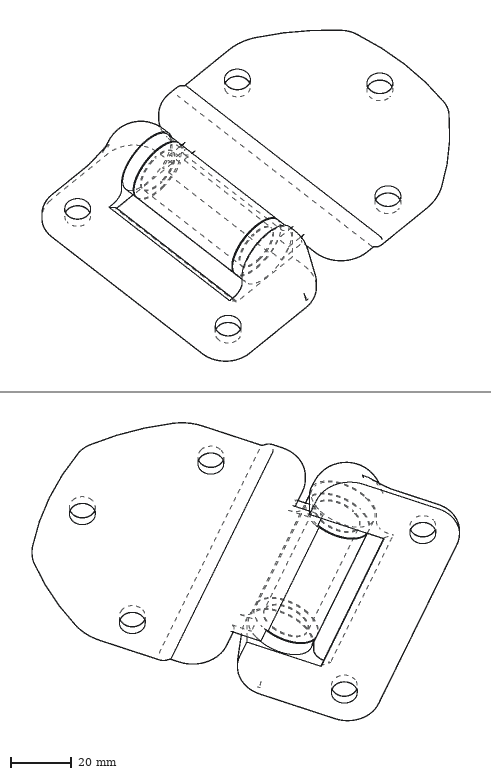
import cadquery as cq
import math

HALF_WIDTH = 46.0
PLATE_THICKNESS = 4
AXIS_HEIGHT = 12.0
SCREW_HOLE_DIAMETER = 8.5
SCREW_HOLE_X = 34.9
PIN_RADIUS = 8.0
BARREL_RADIUS = 11.5
BARREL_HALF_LENGTH = 22.7

OVERALL_LENGTH = 131.8
LEAF_REAR_Y = 93.8

BASE_FRONT_Y = LEAF_REAR_Y - OVERALL_LENGTH
BASE_CORNER_RADIUS = 11.1
BASE_EDGE_RADIUS = 2.0
BASE_HOLE_Y = -25.7
SLOT_HALF_WIDTH = 28.0
SLOT_FRONT_Y = -14.6
SLOT_CHAMFER = 3.3
LUG_RADIUS = AXIS_HEIGHT
LUG_DOME_X = 30.7
LUG_LEAN_DEG = 18
LUG_FOOT_FILLET = 4
COLLAR_GAP = 0.4

LEAF_FRONT_Y = 16.7
LEAF_SHOULDER_Y = 62.2
LEAF_TOP_CORNER_X = 22.9
LEAF_TOP_CORNER_Y = 91.0
LEAF_ARC_RADIUS = 93.5
LEAF_TOP_CORNER_RADIUS = 10.0
LEAF_SHOULDER_RADIUS = 19.0
LEAF_FRONT_CORNER_RADIUS = 12.3
LEAF_EDGE_RADIUS = 1.0
LEAF_SIDE_HOLE_Y = 50.1
LEAF_REAR_HOLE_Y = 82.0
JOGGLE_Y = 36.2
JOGGLE_RISE = 2.5
JOGGLE_SLOPE_DEG = 45
LEAF_TOP = JOGGLE_RISE + PLATE_THICKNESS
NECK_HALF_WIDTH = 27.5
NECK_CLEARANCE = 0.4
WEB_FILLET = 6.0

OVERSIZE = 2 * OVERALL_LENGTH
SELECT_MARGIN = 0.1


def cylinder_along_x(radius, start_x, end_x):
    """Cylinder on the hinge axis between two X positions."""
    return (
        cq.Workplane("YZ", origin=(start_x, 0, 0))
        .center(0, AXIS_HEIGHT)
        .circle(radius)
        .extrude(end_x - start_x)
    )


def screw_holes(places):
    """Cutters for screw holes through a plate."""
    return (
        cq.Workplane("XY")
        .pushPoints(places)
        .circle(SCREW_HOLE_DIAMETER / 2)
        .extrude(OVERSIZE, both=True)
    )


def block(x_range, y_range, z_range):
    """Axis-aligned block from its (low, high) limits."""
    low, high = zip(x_range, y_range, z_range)
    size = [b - a for a, b in zip(low, high)]
    return cq.Workplane("XY").box(*size, centered=False).translate(low)


def leaning_lug():
    """Lug on the +X side: domed, leaning outwards towards its foot."""
    top = 2 * AXIS_HEIGHT
    lean = math.radians(LUG_LEAN_DEG)
    down = cq.Vector(math.sin(lean), 0, -math.cos(lean))
    centre = cq.Vector(LUG_DOME_X, 0, AXIS_HEIGHT)
    leg = cq.Workplane(cq.Solid.makeCylinder(LUG_RADIUS, top, centre, down))
    dome = cq.Workplane("XY").sphere(LUG_RADIUS).translate(centre)
    foot_x = LUG_DOME_X + AXIS_HEIGHT * math.tan(lean)
    web = (
        cq.Workplane("XZ", origin=(0, LUG_RADIUS, 0))
        .polyline([
            (SLOT_HALF_WIDTH, 0),
            (foot_x, 0),
            (LUG_DOME_X, AXIS_HEIGHT),
            (SLOT_HALF_WIDTH, AXIS_HEIGHT),
        ])
        .close()
        .extrude(2 * LUG_RADIUS)
    )
    head = cylinder_along_x(LUG_RADIUS, SLOT_HALF_WIDTH, LUG_DOME_X)
    lug = leg.union(dome).union(web).union(head)
    keep = block((SLOT_HALF_WIDTH, 2 * HALF_WIDTH), (-LUG_RADIUS, LUG_RADIUS), (0, top))
    return lug.intersect(keep)


def base_outline():
    """Tall prism over the base footprint, rounded at all four corners."""
    return (
        block((-HALF_WIDTH, HALF_WIDTH), (BASE_FRONT_Y, LUG_RADIUS), (0, OVERSIZE))
        .edges("|Z and <Y").fillet(BASE_CORNER_RADIUS)
        .edges("|Z and >Y").fillet(LUG_RADIUS)
    )


def lug_with_foot():
    """Lug on the +X side, blended into an untrimmed stretch of plate in front of it."""
    lug = leaning_lug()
    wide = (SLOT_HALF_WIDTH, OVERSIZE)
    slab = block(wide, (-OVERSIZE, OVERSIZE), (0, PLATE_THICKNESS))
    around_foot = cq.selectors.BoxSelector(
        (SLOT_HALF_WIDTH + SELECT_MARGIN, -LUG_RADIUS - SELECT_MARGIN, PLATE_THICKNESS - SELECT_MARGIN),
        (HALF_WIDTH + SELECT_MARGIN, LUG_RADIUS + SELECT_MARGIN, PLATE_THICKNESS + SELECT_MARGIN),
    )
    blended = slab.union(lug).edges(around_foot).fillet(LUG_FOOT_FILLET)
    front_half = block(wide, (-OVERSIZE, 0), (0, OVERSIZE))
    return blended.intersect(front_half).union(lug)


def base_bridge():
    """Plate between the lugs, bevelled along the slot that clears the barrel."""
    return (
        cq.Workplane("YZ", origin=(-SLOT_HALF_WIDTH, 0, 0))
        .polyline([
            (BASE_FRONT_Y, 0),
            (SLOT_FRONT_Y, 0),
            (SLOT_FRONT_Y, PLATE_THICKNESS - SLOT_CHAMFER),
            (SLOT_FRONT_Y - SLOT_CHAMFER, PLATE_THICKNESS),
            (BASE_FRONT_Y, PLATE_THICKNESS),
        ])
        .close()
        .extrude(2 * SLOT_HALF_WIDTH)
    )


def make_base():
    """Plate with its two lugs, their collars and the hinge pin between them."""
    lug = lug_with_foot()
    base = base_bridge().union(lug).union(lug.mirror("YZ")).intersect(base_outline())
    base = base.faces("<Y").edges(">Z").fillet(BASE_EDGE_RADIUS)
    collar_x = BARREL_HALF_LENGTH + COLLAR_GAP
    base = base.union(cylinder_along_x(PIN_RADIUS, -SLOT_HALF_WIDTH, SLOT_HALF_WIDTH))
    collar = cylinder_along_x(BARREL_RADIUS, collar_x, SLOT_HALF_WIDTH)
    base = base.union(collar).union(collar.mirror("YZ"))
    return base.cut(screw_holes([(x, BASE_HOLE_Y) for x in (-SCREW_HOLE_X, SCREW_HOLE_X)]))


def leaf_outline():
    """Tall prism over the leaf plate: a domed rear end and rounded front corners."""
    return (
        cq.Workplane("XY")
        .moveTo(-HALF_WIDTH, LEAF_FRONT_Y)
        .lineTo(-HALF_WIDTH, LEAF_SHOULDER_Y)
        .radiusArc((-LEAF_TOP_CORNER_X, LEAF_TOP_CORNER_Y), LEAF_ARC_RADIUS)
        .threePointArc((0, LEAF_REAR_Y), (LEAF_TOP_CORNER_X, LEAF_TOP_CORNER_Y))
        .radiusArc((HALF_WIDTH, LEAF_SHOULDER_Y), LEAF_ARC_RADIUS)
        .lineTo(HALF_WIDTH, LEAF_FRONT_Y)
        .close()
        .extrude(OVERSIZE)
        .edges("|Z and <Y").fillet(LEAF_FRONT_CORNER_RADIUS)
        .edges("|Z").edges(">Y").fillet(LEAF_TOP_CORNER_RADIUS)
        .edges("|Z").edges("<X or >X").edges(">Y").fillet(LEAF_SHOULDER_RADIUS)
    )


def joggled_sheet():
    """Sheet of constant thickness that slopes up by the joggle rise towards the barrel."""
    t = PLATE_THICKNESS
    slope = math.radians(JOGGLE_SLOPE_DEG)
    full_turn = t * math.sin(slope), t * math.cos(slope)
    half_turn = t * math.sin(slope / 2), t * math.cos(slope / 2)
    high_y = JOGGLE_Y - JOGGLE_RISE / math.tan(slope) - t * math.tan(slope / 2)
    return (
        cq.Workplane("YZ", origin=(-HALF_WIDTH, 0, 0))
        .moveTo(OVERSIZE, 0)
        .lineTo(OVERSIZE, t)
        .lineTo(JOGGLE_Y, t)
        .lineTo(high_y + full_turn[0], JOGGLE_RISE + full_turn[1])
        .threePointArc((high_y + half_turn[0], JOGGLE_RISE + half_turn[1]), (high_y, LEAF_TOP))
        .lineTo(0, LEAF_TOP)
        .lineTo(0, JOGGLE_RISE)
        .lineTo(high_y, JOGGLE_RISE)
        .lineTo(JOGGLE_Y - full_turn[0], t - full_turn[1])
        .threePointArc((JOGGLE_Y - half_turn[0], t - half_turn[1]), (JOGGLE_Y, 0))
        .close()
        .extrude(2 * HALF_WIDTH)
    )


def barrel_web():
    """Solid between plate and barrel, with a concave fillet tangent to both."""
    fillet_z = LEAF_TOP + WEB_FILLET
    reach = BARREL_RADIUS + WEB_FILLET
    rise = fillet_z - AXIS_HEIGHT
    fillet_y = math.sqrt(reach**2 - rise**2)
    share = BARREL_RADIUS / reach
    solid_web = (
        cq.Workplane("YZ", origin=(-BARREL_HALF_LENGTH, 0, 0))
        .polyline([
            (0, AXIS_HEIGHT),
            (fillet_y * share, AXIS_HEIGHT + rise * share),
            (fillet_y, fillet_z),
            (fillet_y, JOGGLE_RISE),
            (0, JOGGLE_RISE),
        ])
        .close()
        .extrude(2 * BARREL_HALF_LENGTH)
    )
    hollow = (
        cq.Workplane("YZ", origin=(-BARREL_HALF_LENGTH, 0, 0))
        .center(fillet_y, fillet_z)
        .circle(WEB_FILLET)
        .extrude(2 * BARREL_HALF_LENGTH)
    )
    return solid_web.cut(hollow)


def make_leaf():
    """Joggled plate with a neck, and the barrel that turns on the pin."""
    plate = joggled_sheet().intersect(leaf_outline())
    plate = plate.faces("<X or >X").edges("not |Z").fillet(LEAF_EDGE_RADIUS)
    neck = block(
        (-NECK_HALF_WIDTH, NECK_HALF_WIDTH),
        (0, LEAF_FRONT_Y + LEAF_EDGE_RADIUS),
        (JOGGLE_RISE, LEAF_TOP),
    )
    leaf = plate.union(neck)
    collar_room = BARREL_RADIUS + NECK_CLEARANCE
    leaf = leaf.cut(cylinder_along_x(collar_room, -SLOT_HALF_WIDTH, SLOT_HALF_WIDTH))
    leaf = leaf.union(barrel_web())
    leaf = leaf.union(cylinder_along_x(BARREL_RADIUS, -BARREL_HALF_LENGTH, BARREL_HALF_LENGTH))
    leaf = leaf.cut(cylinder_along_x(PIN_RADIUS, -BARREL_HALF_LENGTH, BARREL_HALF_LENGTH))
    side_holes = [(x, LEAF_SIDE_HOLE_Y) for x in (-SCREW_HOLE_X, SCREW_HOLE_X)]
    return leaf.cut(screw_holes([*side_holes, (0, LEAF_REAR_HOLE_Y)]))


base = make_base()
leaf = make_leaf()
result = cq.Compound.makeCompound([base.solids().val(), leaf.solids().val()])